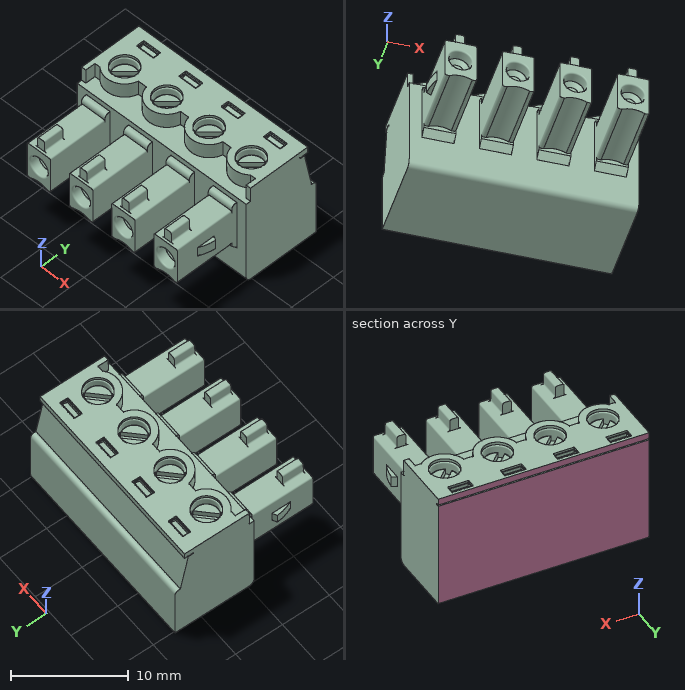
import cadquery as cq
import math


POLE_COUNT = 4
PITCH = 5.08
LENGTH = POLE_COUNT * PITCH
POLE_X = [(i - (POLE_COUNT - 1) / 2) * PITCH for i in range(POLE_COUNT)]

HEIGHT = 11.1
HOUSING_DEPTH = 8.45
FRONT_EDGE_RADIUS = 0.6
BACK_TOP_Z = 6.2
BACK_EDGE_RADIUS = 0.45
SLOPE_BOTTOM_Y = 7.88
SLOPE_TOP_Y = 7.03
LIP_Y = 7.43
LIP_Z = 10.43
LIP_SLIT_Y = 6.5
LIP_SLIT_HEIGHT = 0.08

RECESS_Z = 9.5
END_WALL_THICKNESS = 0.52
END_WALL_FRONT_Y = 0.52
END_SHELF_Y = 1.62
RECESS_BACK_Y = 2.75
BOSS_RADIUS = 2.1

SCREW_Y = 3.17
WELL_MOUTH_RADIUS = 1.385
WELL_MOUTH_DEPTH = 0.27
WELL_RADIUS = 1.24
SCREW_EDGE_RADIUS = 0.12
SCREW_TOP_DEPTH = 0.93
SLOT_WIDTH = 0.61
SLOT_DEPTH = 0.58
SLOT_ANGLE = 45

WINDOW_LENGTH = 2.0
WINDOW_BACK_Y = 6.47
WINDOW_FRONT_Y = 5.63
WINDOW_DEPTH = 0.2
WINDOW_SIDE_LEDGE = 0.08
WINDOW_BACK_LEDGE = 0.14
WINDOW_FRONT_LEDGE = 0.09
WINDOW_FLOOR_DEPTH = 0.3
WINDOW_FLOOR_ANGLE = 20

PIN_WIDTH = 2.84
PIN_REACH = 7.15
PIN_TOP_Z = 8.3
PIN_BOTTOM_Z = 4.23
PIN_EDGE_RADIUS = 0.2
PIN_ARCH_HALF_WIDTH = 1.0
PIN_ARCH_Z = 4.47
COLLAR_REACH = 0.61
COLLAR_TOP_Z = 8.92
COLLAR_RADIUS = 0.43
COLLAR_FRONT_BOTTOM_Z = 4.0

OPENING_Z = 6.31
OPENING_MOUTH_RADIUS = 1.2
OPENING_RADIUS = 1.03
OPENING_CONE_START = 1.0
OPENING_END_RADIUS = 0.6
OPENING_DEPTH = 1.35

RIB_WIDTH = 0.83
RIB_TOP_RADIUS = 0.2
RIB_FOOT_RADIUS = 0.2
RIB_BACK_Y = -4.67
RIB_FRONT_Y = -6.88

LATCH_HEIGHT = 0.45
LATCH_BOTTOM_Z = 5.82
LATCH_TOP_Z = 6.83
LATCH_BACK_Y = -2.75
LATCH_PEAK_Y = -3.0
LATCH_FRONT_Y = -4.74
LATCH_BULGE = 0.08
LATCH_ROOT = 0.1

DIAGONAL = math.sqrt(0.5)


def make_housing():
    """Side profile of the housing, extruded over the full row."""
    back_round_y = HOUSING_DEPTH - BACK_EDGE_RADIUS
    back_round_z = BACK_TOP_Z - BACK_EDGE_RADIUS
    slit_z = LIP_Z - LIP_SLIT_HEIGHT
    profile = (
        cq.Workplane("YZ", origin=(-LENGTH / 2, 0, 0))
        .moveTo(FRONT_EDGE_RADIUS, 0)
        .lineTo(HOUSING_DEPTH, 0)
        .lineTo(HOUSING_DEPTH, back_round_z)
        .threePointArc(
            (back_round_y + BACK_EDGE_RADIUS * DIAGONAL, back_round_z + BACK_EDGE_RADIUS * DIAGONAL),
            (back_round_y, BACK_TOP_Z),
        )
        .lineTo(SLOPE_BOTTOM_Y, BACK_TOP_Z)
        .lineTo(SLOPE_TOP_Y, slit_z)
        .lineTo(LIP_SLIT_Y, slit_z)
        .lineTo(LIP_SLIT_Y, LIP_Z)
        .lineTo(LIP_Y, LIP_Z)
        .lineTo(LIP_Y, HEIGHT)
        .lineTo(0, HEIGHT)
        .lineTo(0, FRONT_EDGE_RADIUS)
        .threePointArc(
            (FRONT_EDGE_RADIUS * (1 - DIAGONAL), FRONT_EDGE_RADIUS * (1 - DIAGONAL)),
            (FRONT_EDGE_RADIUS, 0),
        )
        .close()
    )
    return profile.extrude(LENGTH)


def make_recess():
    """Material removed from the top front edge, around the screw bosses."""
    inner_half = LENGTH / 2 - END_WALL_THICKNESS
    end_half = POLE_X[-1]
    cut_height = HEIGHT - RECESS_Z
    recess = (
        cq.Workplane("XY", origin=(0, 0, RECESS_Z))
        .moveTo(-LENGTH / 2, 0)
        .lineTo(-LENGTH / 2, END_WALL_FRONT_Y)
        .lineTo(-inner_half, END_WALL_FRONT_Y)
        .lineTo(-inner_half, END_SHELF_Y)
        .lineTo(-end_half, END_SHELF_Y)
        .lineTo(-end_half, RECESS_BACK_Y)
        .lineTo(end_half, RECESS_BACK_Y)
        .lineTo(end_half, END_SHELF_Y)
        .lineTo(inner_half, END_SHELF_Y)
        .lineTo(inner_half, END_WALL_FRONT_Y)
        .lineTo(LENGTH / 2, END_WALL_FRONT_Y)
        .lineTo(LENGTH / 2, 0)
        .close()
        .extrude(cut_height)
    )
    bosses = (
        cq.Workplane("XY", origin=(0, 0, RECESS_Z))
        .pushPoints([(x, SCREW_Y) for x in POLE_X])
        .circle(BOSS_RADIUS)
        .extrude(cut_height)
    )
    return recess.cut(bosses)


def make_screw_well(x):
    """Well with a rounded step, down to the round-edged screw head and its driver slot."""
    round_radius = WELL_MOUTH_RADIUS - WELL_RADIUS
    round_bottom = WELL_MOUTH_DEPTH + round_radius
    round_mid = round_radius * DIAGONAL
    screw_flat_radius = WELL_RADIUS - SCREW_EDGE_RADIUS
    screw_edge_z = -SCREW_TOP_DEPTH - SCREW_EDGE_RADIUS
    screw_mid = SCREW_EDGE_RADIUS * DIAGONAL
    well = (
        cq.Workplane("XZ")
        .lineTo(WELL_MOUTH_RADIUS, 0)
        .lineTo(WELL_MOUTH_RADIUS, -WELL_MOUTH_DEPTH)
        .threePointArc(
            (WELL_MOUTH_RADIUS - round_mid, round_mid - round_bottom),
            (WELL_RADIUS, -round_bottom),
        )
        .lineTo(WELL_RADIUS, screw_edge_z)
        .threePointArc(
            (screw_flat_radius + screw_mid, screw_edge_z + screw_mid),
            (screw_flat_radius, -SCREW_TOP_DEPTH),
        )
        .lineTo(0, -SCREW_TOP_DEPTH)
        .close()
        .revolve(360, (0, 0, 0), (0, 1, 0))
    )
    slot_bottom = -SCREW_TOP_DEPTH - SLOT_DEPTH
    slot = (
        cq.Workplane("XY", origin=(0, 0, slot_bottom))
        .rect(2 * WELL_RADIUS, SLOT_WIDTH)
        .extrude(SLOT_DEPTH)
        .rotate((0, 0, 0), (0, 0, 1), SLOT_ANGLE)
    )
    slot_bounds = cq.Workplane("XY", origin=(0, 0, slot_bottom)).circle(WELL_RADIUS).extrude(SLOT_DEPTH)
    return well.union(slot.intersect(slot_bounds)).translate((x, SCREW_Y, HEIGHT))


def make_window(x):
    """Shallow rectangular pocket with a smaller one inside it, whose floor slopes down to the front."""
    outer = (
        cq.Workplane("XY", origin=(x, (WINDOW_BACK_Y + WINDOW_FRONT_Y) / 2, HEIGHT))
        .rect(WINDOW_LENGTH, WINDOW_BACK_Y - WINDOW_FRONT_Y)
        .extrude(-WINDOW_DEPTH)
    )
    inner_length = WINDOW_LENGTH - 2 * WINDOW_SIDE_LEDGE
    inner_back_y = WINDOW_BACK_Y - WINDOW_BACK_LEDGE
    inner_front_y = WINDOW_FRONT_Y + WINDOW_FRONT_LEDGE
    floor_drop = (inner_back_y - inner_front_y) * math.tan(math.radians(WINDOW_FLOOR_ANGLE))
    inner = (
        cq.Workplane("YZ", origin=(x - inner_length / 2, 0, HEIGHT))
        .moveTo(inner_back_y, 0)
        .lineTo(inner_back_y, -WINDOW_FLOOR_DEPTH)
        .lineTo(inner_front_y, -WINDOW_FLOOR_DEPTH - floor_drop)
        .lineTo(inner_front_y, 0)
        .close()
        .extrude(inner_length)
    )
    return outer.union(inner)


def make_collar(x):
    """Root of a pin: rounded above, sloped 45 degrees below."""
    round_y = COLLAR_RADIUS - COLLAR_REACH
    round_z = COLLAR_TOP_Z - COLLAR_RADIUS
    return (
        cq.Workplane("YZ", origin=(x - PIN_WIDTH / 2, 0, 0))
        .moveTo(0, COLLAR_FRONT_BOTTOM_Z - COLLAR_REACH)
        .lineTo(0, COLLAR_TOP_Z)
        .lineTo(round_y, COLLAR_TOP_Z)
        .threePointArc(
            (round_y - COLLAR_RADIUS * DIAGONAL, round_z + COLLAR_RADIUS * DIAGONAL),
            (-COLLAR_REACH, round_z),
        )
        .lineTo(-COLLAR_REACH, COLLAR_FRONT_BOTTOM_Z)
        .close()
        .extrude(PIN_WIDTH)
    )


def make_pin_bar(x):
    """Straight bar of a pin with rounded edges and a shallow arch underneath."""
    bar = (
        cq.Workplane("XZ", origin=(x, 0, 0))
        .moveTo(-PIN_WIDTH / 2, PIN_TOP_Z)
        .lineTo(PIN_WIDTH / 2, PIN_TOP_Z)
        .lineTo(PIN_WIDTH / 2, PIN_BOTTOM_Z)
        .lineTo(PIN_ARCH_HALF_WIDTH, PIN_BOTTOM_Z)
        .threePointArc((0, PIN_ARCH_Z), (-PIN_ARCH_HALF_WIDTH, PIN_BOTTOM_Z))
        .lineTo(-PIN_WIDTH / 2, PIN_BOTTOM_Z)
        .close()
        .extrude(PIN_REACH)
    )
    side_edges = bar.faces("<X or >X").edges("|Y")
    return bar.newObject(side_edges.vals()).fillet(PIN_EDGE_RADIUS)


def make_rib(x):
    """Coding rib with rounded top edges and concave rounds at its foot."""
    top_half = RIB_WIDTH / 2
    foot_half = top_half + RIB_FOOT_RADIUS
    foot_z = PIN_TOP_Z + RIB_FOOT_RADIUS
    round_x = top_half - RIB_TOP_RADIUS
    round_z = RECESS_Z - RIB_TOP_RADIUS
    foot_mid = RIB_FOOT_RADIUS * DIAGONAL
    top_mid = RIB_TOP_RADIUS * DIAGONAL
    return (
        cq.Workplane("XZ", origin=(x, RIB_BACK_Y, 0))
        .moveTo(-foot_half, PIN_TOP_Z - RIB_FOOT_RADIUS)
        .lineTo(-foot_half, PIN_TOP_Z)
        .threePointArc((foot_mid - foot_half, foot_z - foot_mid), (-top_half, foot_z))
        .lineTo(-top_half, round_z)
        .threePointArc((-round_x - top_mid, round_z + top_mid), (-round_x, RECESS_Z))
        .lineTo(round_x, RECESS_Z)
        .threePointArc((round_x + top_mid, round_z + top_mid), (top_half, round_z))
        .lineTo(top_half, foot_z)
        .threePointArc((foot_half - foot_mid, foot_z - foot_mid), (foot_half, PIN_TOP_Z))
        .lineTo(foot_half, PIN_TOP_Z - RIB_FOOT_RADIUS)
        .close()
        .extrude(RIB_BACK_Y - RIB_FRONT_Y)
    )


def make_opening(x):
    """Round opening in the end of a pin: rounded mouth, straight bore, then a cone to a flat end."""
    round_radius = OPENING_MOUTH_RADIUS - OPENING_RADIUS
    round_mid = round_radius * DIAGONAL
    round_end_y = round_radius - PIN_REACH
    return (
        cq.Workplane("XY")
        .moveTo(0, -PIN_REACH)
        .lineTo(OPENING_MOUTH_RADIUS, -PIN_REACH)
        .threePointArc(
            (OPENING_MOUTH_RADIUS - round_mid, round_end_y - round_mid),
            (OPENING_RADIUS, round_end_y),
        )
        .lineTo(OPENING_RADIUS, OPENING_CONE_START - PIN_REACH)
        .lineTo(OPENING_END_RADIUS, OPENING_DEPTH - PIN_REACH)
        .lineTo(0, OPENING_DEPTH - PIN_REACH)
        .close()
        .revolve(360, (0, 0, 0), (0, 1, 0))
        .translate((x, 0, OPENING_Z))
    )


def make_pin(x):
    """Complete plug pin of one pole."""
    return make_collar(x).union(make_pin_bar(x)).union(make_rib(x)).cut(make_opening(x))


def make_latch(side):
    """Latch wedge on the outer side of an end pin; side is -1 or +1."""
    pin_side = side * (POLE_X[-1] + PIN_WIDTH / 2)
    root_x = pin_side - side * LATCH_ROOT
    peak_x = pin_side + side * LATCH_HEIGHT
    bulge_x = (pin_side + peak_x) / 2 + side * LATCH_BULGE
    return (
        cq.Workplane("XY", origin=(0, 0, LATCH_BOTTOM_Z))
        .moveTo(root_x, LATCH_BACK_Y)
        .lineTo(pin_side, LATCH_BACK_Y)
        .lineTo(peak_x, LATCH_PEAK_Y)
        .threePointArc((bulge_x, (LATCH_PEAK_Y + LATCH_FRONT_Y) / 2), (pin_side, LATCH_FRONT_Y))
        .lineTo(root_x, LATCH_FRONT_Y)
        .close()
        .extrude(LATCH_TOP_Z - LATCH_BOTTOM_Z)
    )


result = make_housing().cut(make_recess())
for pole_x in POLE_X:
    result = result.cut(make_screw_well(pole_x))
    result = result.cut(make_window(pole_x))
    result = result.union(make_pin(pole_x))
for end_side in (-1, 1):
    result = result.union(make_latch(end_side))